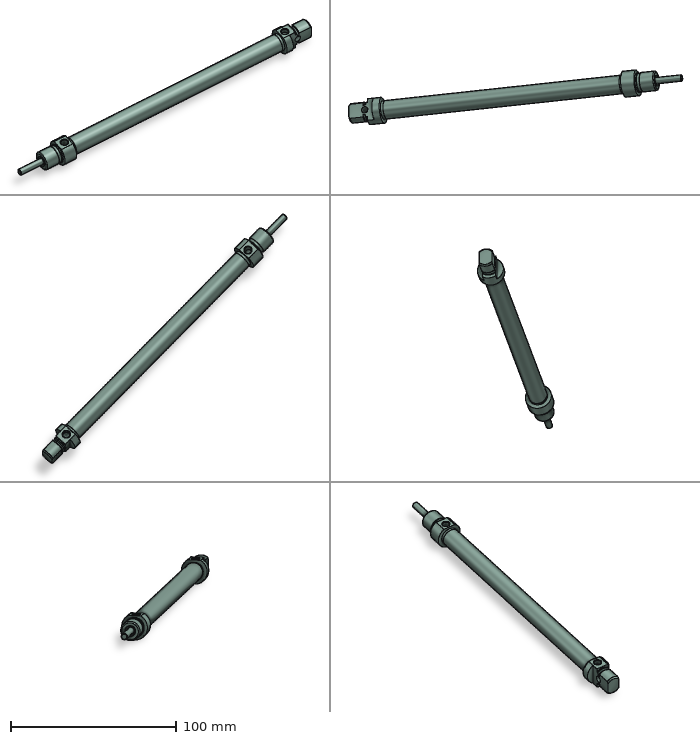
import cadquery as cq

total_length = 211.0
nose_front = 16.0
nose_back = 25.3
front_collar_front = 28.0
front_collar_length = 8.5
rear_collar_front = 190.3
rear_collar_length = 8.9
rear_round_length = 4.6
groove_rear = 202.0
shoulder_length = 0.8
shoulder_cone_length = 0.6
front_port_y = 33.0
rear_port_y = 194.1
crimp_length = 1.7

rod_diameter = 4.0
barrel_diameter = 11.4
crimp_diameter = 11.2
thread_diameter = 12.0
neck_diameter = 11.2
groove_diameter = 10.0
collar_diameter = 16.0
port_flat_height = 7.0
port_diameter = 4.2
port_mouth_diameter = 5.0
port_mouth_depth = 0.5
rear_port_depth = 3.0
rear_port_tip_depth = 1.3
seal_recess_diameter = 6.5
seal_recess_depth = 1.3
seal_bore_diameter = 4.6
seal_bore_depth = 2.5
tongue_width = 8.0
pivot_hole_diameter = 4.0
pivot_hole_y = 200.9

nose_chamfer_length = 0.6
nose_chamfer_radial = 0.8
tongue_chamfer = 0.8
rod_chamfer = 0.5

front_collar_back = front_collar_front + front_collar_length
rear_collar_back = rear_collar_front + rear_collar_length
front_shoulder_front = front_collar_front - shoulder_length
rear_shoulder_back = rear_collar_back + shoulder_length


def cylinder(diameter, start, end):
    """Round bar along Y between two positions."""
    return cq.Workplane("XZ", origin=(0, start, 0)).circle(diameter / 2).extrude(start - end)


def collar(start, end):
    """Round collar with a flat on top for the air port."""
    size = end - start
    below_flat = cq.Workplane("XY").box(
        collar_diameter, size, collar_diameter, centered=(True, False, False)
    ).translate((0, start, port_flat_height - collar_diameter))
    return cylinder(collar_diameter, start, end).intersect(below_flat)


def cone(start_diameter, end_diameter, start, end):
    """Tapered bar along Y between two positions, narrowing towards its end."""
    return cq.Workplane(cq.Solid.makeCone(
        start_diameter / 2, end_diameter / 2, abs(end - start),
        pnt=cq.Vector(0, start, 0), dir=cq.Vector(0, end - start, 0),
    ))


def port(y, depth, tip_depth=0):
    """Countersunk air port in a collar's top flat; a tip depth adds a drill point."""
    half_profile = (
        cq.Workplane("XZ", origin=(0, y, port_flat_height))
        .lineTo(port_mouth_diameter / 2, 0)
        .lineTo(port_diameter / 2, -port_mouth_depth)
        .lineTo(port_diameter / 2, -depth)
        .lineTo(0, -depth - tip_depth)
        .close()
    )
    return half_profile.revolve(360, (0, 0, 0), (0, 1, 0))


def make_front_cap():
    nose = cone(
        thread_diameter, thread_diameter - 2 * nose_chamfer_radial, nose_front + nose_chamfer_length, nose_front
    ).union(cylinder(thread_diameter, nose_front + nose_chamfer_length, nose_back))
    cap = (
        nose.union(cylinder(neck_diameter, nose_back, front_shoulder_front))
        .union(cylinder(thread_diameter, front_shoulder_front, front_collar_front))
        .union(collar(front_collar_front, front_collar_back))
    )
    seal_recess = cylinder(seal_recess_diameter, nose_front, nose_front + seal_recess_depth).union(
        cylinder(seal_bore_diameter, nose_front, nose_front + seal_bore_depth)
    )
    rod_hole = cylinder(rod_diameter, nose_front, front_collar_back)
    return cap.cut(port(front_port_y, port_flat_height)).cut(seal_recess).cut(rod_hole)


def make_rear_cap():
    tongue = cylinder(thread_diameter, groove_rear, total_length).faces(">Y").chamfer(tongue_chamfer)
    cap = (
        tongue.union(cylinder(groove_diameter, rear_shoulder_back, groove_rear))
        .union(cone(
            thread_diameter, groove_diameter, rear_shoulder_back, rear_shoulder_back + shoulder_cone_length
        ))
        .union(cylinder(thread_diameter, rear_collar_back, rear_shoulder_back))
        .union(collar(rear_collar_front, rear_collar_back))
    )
    flats_start = rear_collar_front + rear_round_length
    for side in (-1, 1):
        side_cut = cq.Workplane("XY").box(
            collar_diameter, total_length - flats_start, collar_diameter * 2, centered=(True, False, True)
        ).translate((side * (tongue_width + collar_diameter) / 2, flats_start, 0))
        cap = cap.cut(side_cut)
    pivot_hole = (
        cq.Workplane("YZ", origin=(0, pivot_hole_y, 0))
        .circle(pivot_hole_diameter / 2)
        .extrude(tongue_width / 2, both=True)
    )
    return cap.cut(pivot_hole).cut(port(rear_port_y, rear_port_depth, rear_port_tip_depth))


def make_barrel():
    body = cylinder(barrel_diameter, front_collar_back + crimp_length, rear_collar_front - crimp_length)
    return body.union(cylinder(crimp_diameter, front_collar_back, rear_collar_front))


def make_rod():
    return cylinder(rod_diameter, 0, front_collar_back).faces("<Y").chamfer(rod_chamfer)


front_cap = make_front_cap()
rear_cap = make_rear_cap()
barrel = make_barrel()
rod = make_rod()

result = cq.Compound.makeCompound([front_cap.val(), rear_cap.val(), barrel.val(), rod.val()])